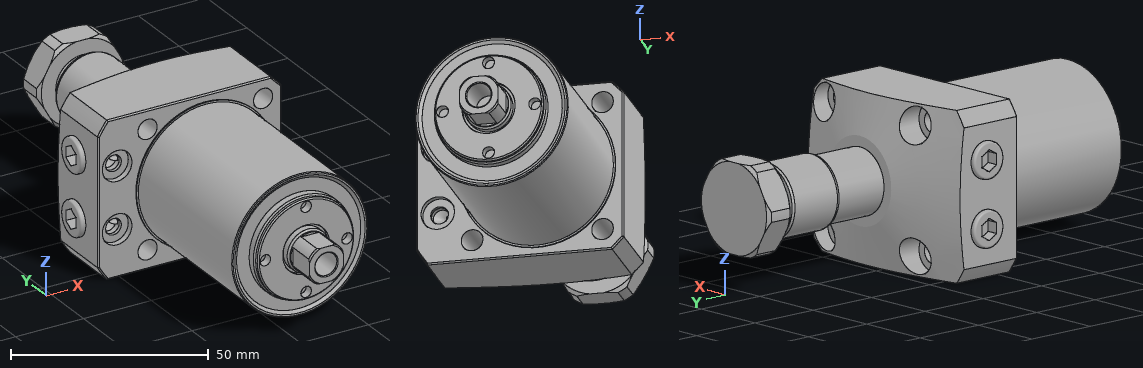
import cadquery as cq
import math


flange_left = 31.6
flange_right = 22.5
flange_half_height = 22.5
flange_depth = 25.1
flange_left_corner_radius = 36.6
flange_right_chamfer = 3.1
flange_edge_chamfer = 0.4
flange_back_flat_radius = 11.8
flange_back_slope = 15
bolt_hole_offset = 17.0
bolt_hole_radius = 2.8
counterbore_radius = 4.9
counterbore_floor = 16.0

barrel_radius = 20.0
barrel_end = -46.6
barrel_chamfer = 0.3
bore_mouth_depth = 0.6
bore_mouth_radius = 19.2
root_radius = 20.5
root_length = 0.4

cap_flange_radius = 18.3
cap_flange_inner_end = -39.7
cap_boss_radius = 14.6
cap_step_radius = 14.2
cap_step_start = -48.0
cap_step_end = -48.5
cap_chamfer = 0.4
cap_end = -49.7
cap_counterbore_radius = 6.9
cap_counterbore_depth = 1.0
cap_flange_outer_end = barrel_end + bore_mouth_depth
spanner_circle_radius = 12.0
spanner_hole_radius = 1.5
spanner_hole_depth = 2.5

rod_radius = 9
collar_radius = 10.0
collar_start = 41.2
collar_end = 57.3
collar_chamfer_length = 0.8
collar_chamfer_height = 0.3
shoulder_radius = 6.1
shoulder_chamfer = 0.5
shoulder_end = -51.1
tail_radius = 5.6
tail_flat_start = -51.6
tail_end = -59.6
tail_across_flats = 10.0
tail_chamfer = 0.4
tail_hole_radius = 3.2
tail_hole_chamfer = 0.3
tail_hole_depth = 10.2

head_start = 60.4
head_end = 68.4
head_across_flats = 24.0
head_corner_radius = 13.2
head_chamfer_radius = 12.2
head_chamfer_depth = 0.8
neck_radius = 7.2
neck_flare_radius = 8.0
neck_flare_start = 58.6

port_heights = (-9, 9)
port_x = -26.0
port_radius = 2.3
port_depth = 4.5
port_cone_length = 1.4
seal_recess_radius = 4.4
seal_recess_depth = 2.8
seal_thickness = 1.0
plug_y = 11.0
plug_radius = 5.0
plug_height = 1.4
plug_rounding = 0.6
plug_shank_radius = 3.2
plug_shank_length = 4.5
plug_socket_across_flats = 5.0
plug_socket_depth = 3.2
passage_radius = 0.9
passage_y = 4.5
passage_start = -26.4
passage_end = -21.8


def turned(profile):
    """Solid of revolution about the Y axis from (y, radius) points that start and end on the axis."""
    return cq.Workplane("YZ").polyline(profile).close().revolve(360, (0, 0), (1, 0))


def rod_along_y(radius, start, end, x=0, z=0):
    """Cylinder along Y from start to end."""
    return cq.Workplane("XZ", origin=(x, start, z)).circle(radius).extrude(start - end)


def rod_along_x(radius, start, end, y, z):
    """Cylinder along X from start to end."""
    return cq.Workplane("YZ", origin=(start, y, z)).circle(radius).extrude(end - start)


def flange_outline():
    """Rectangle with rounded left corners, centred on the rod axis, and chamfered right corners."""
    left_corner_x = math.sqrt(flange_left_corner_radius**2 - flange_half_height**2)
    left_corner_z = math.sqrt(flange_left_corner_radius**2 - flange_left**2)
    middle_angle = (
        math.atan2(flange_half_height, left_corner_x) + math.atan2(left_corner_z, flange_left)
    ) / 2
    middle_x = flange_left_corner_radius * math.cos(middle_angle)
    middle_z = flange_left_corner_radius * math.sin(middle_angle)
    right_corner_x = flange_right - flange_right_chamfer
    right_corner_z = flange_half_height - flange_right_chamfer
    return (
        cq.Workplane("XZ")
        .moveTo(-left_corner_x, flange_half_height)
        .lineTo(right_corner_x, flange_half_height)
        .lineTo(flange_right, right_corner_z)
        .lineTo(flange_right, -right_corner_z)
        .lineTo(right_corner_x, -flange_half_height)
        .lineTo(-left_corner_x, -flange_half_height)
        .threePointArc((-middle_x, -middle_z), (-flange_left, -left_corner_z))
        .lineTo(-flange_left, left_corner_z)
        .threePointArc((-middle_x, middle_z), (-left_corner_x, flange_half_height))
        .close()
    )


def make_flange():
    block = flange_outline().extrude(-flange_depth).faces("<Y").chamfer(flange_edge_chamfer)
    reach = flange_left + flange_right
    cone_drop = (reach - flange_back_flat_radius) * math.tan(math.radians(flange_back_slope))
    envelope = turned([
        (0, 0),
        (0, reach),
        (flange_depth - cone_drop, reach),
        (flange_depth, flange_back_flat_radius),
        (flange_depth, 0),
    ])
    return block.intersect(envelope)


def make_barrel():
    return turned([
        (flange_edge_chamfer, 0),
        (flange_edge_chamfer, root_radius),
        (-root_length, root_radius),
        (-root_length, barrel_radius),
        (barrel_end + barrel_chamfer, barrel_radius),
        (barrel_end, barrel_radius - barrel_chamfer),
        (barrel_end, bore_mouth_radius),
        (cap_flange_outer_end, cap_flange_radius),
        (cap_flange_outer_end, 0),
    ])


def make_cap_blank():
    """Outer shape of the cap, which is also its seat in the barrel."""
    return turned([
        (cap_flange_inner_end, 0),
        (cap_flange_inner_end, cap_flange_radius),
        (cap_flange_outer_end, cap_flange_radius),
        (cap_flange_outer_end, cap_boss_radius),
        (cap_step_start, cap_boss_radius),
        (cap_step_end, cap_step_radius),
        (cap_end + cap_chamfer, cap_step_radius),
        (cap_end, cap_step_radius - cap_chamfer),
        (cap_end, 0),
    ])


def make_rod():
    rod = turned([
        (cap_flange_inner_end, 0),
        (cap_flange_inner_end, rod_radius),
        (collar_start, rod_radius),
        (collar_start, collar_radius - collar_chamfer_height),
        (collar_start + collar_chamfer_length, collar_radius),
        (collar_end - collar_chamfer_length, collar_radius),
        (collar_end, collar_radius - collar_chamfer_height),
        (collar_end, 0),
    ])
    shoulder = rod_along_y(shoulder_radius, cap_flange_inner_end, shoulder_end)
    shoulder = shoulder.faces("<Y").chamfer(shoulder_chamfer)
    tail = rod_along_y(tail_radius, shoulder_end, tail_end).faces("<Y").chamfer(tail_chamfer)
    square = (
        cq.Workplane("XZ", origin=(0, tail_flat_start, 0))
        .rect(tail_across_flats, tail_across_flats)
        .extrude(tail_flat_start - tail_end)
    )
    round_part = rod_along_y(tail_radius, shoulder_end, tail_flat_start)
    tail = tail.intersect(square.union(round_part))
    tail_hole = turned([
        (tail_end + tail_hole_depth, 0),
        (tail_end + tail_hole_depth, tail_hole_radius),
        (tail_end + tail_hole_chamfer, tail_hole_radius),
        (tail_end, tail_hole_radius + tail_hole_chamfer),
        (tail_end, 0),
    ])
    return rod.union(shoulder).union(tail).cut(tail_hole)


def make_cap():
    cap = make_cap_blank().cut(rod_along_y(shoulder_radius, cap_flange_inner_end, cap_end))
    cap = cap.cut(rod_along_y(cap_counterbore_radius, cap_end + cap_counterbore_depth, cap_end))
    for quarter in range(4):
        angle = math.radians(90 * quarter)
        cap = cap.cut(
            rod_along_y(
                spanner_hole_radius,
                cap_end + spanner_hole_depth,
                cap_end,
                spanner_circle_radius * math.cos(angle),
                spanner_circle_radius * math.sin(angle),
            )
        )
    return cap


def make_bolt():
    hexagon = (
        cq.Workplane("XZ", origin=(0, head_end, 0))
        .polygon(6, head_across_flats, circumscribed=True)
        .extrude(head_end - head_start)
        .rotate((0, 0, 0), (0, 1, 0), 90)
    )
    envelope = turned([
        (head_start, 0),
        (head_start, head_chamfer_radius),
        (head_start + head_chamfer_depth, head_corner_radius),
        (head_end - head_chamfer_depth, head_corner_radius),
        (head_end, head_chamfer_radius),
        (head_end, 0),
    ])
    neck = turned([
        (collar_end, 0),
        (collar_end, neck_radius),
        (neck_flare_start, neck_radius),
        (head_start, neck_flare_radius),
        (head_start, 0),
    ])
    return hexagon.intersect(envelope).union(neck)


def plug_shank(z):
    """Shank of a plug, which is also its hole in the flange."""
    return rod_along_x(plug_shank_radius, -flange_left, -flange_left + plug_shank_length, plug_y, z)


def make_plug(z):
    head = rod_along_x(plug_radius, -flange_left - plug_height, -flange_left, plug_y, z)
    head = head.faces("<X").edges().fillet(plug_rounding)
    socket = (
        cq.Workplane("YZ", origin=(-flange_left - plug_height, plug_y, z))
        .polygon(6, plug_socket_across_flats, circumscribed=True)
        .extrude(plug_socket_depth)
    )
    return head.union(plug_shank(z)).cut(socket)


def make_seal(z):
    """Flat ring at the bottom of the recess around a port."""
    seal_face = seal_recess_depth - seal_thickness
    ring = rod_along_y(seal_recess_radius, seal_recess_depth, seal_face, port_x, z)
    return ring.cut(rod_along_y(port_radius, seal_recess_depth, 0, port_x, z))


def make_port_hole(z):
    """Drilled hole with a conical bottom."""
    return turned([
        (0, 0),
        (0, port_radius),
        (port_depth, port_radius),
        (port_depth + port_cone_length, 0),
    ]).translate((port_x, 0, z))


def make_housing():
    body = make_flange().union(make_barrel())
    body = body.cut(make_cap_blank()).cut(rod_along_y(rod_radius, flange_depth, cap_flange_inner_end))
    for x in (-bolt_hole_offset, bolt_hole_offset):
        for z in (-bolt_hole_offset, bolt_hole_offset):
            body = body.cut(rod_along_y(bolt_hole_radius, flange_depth, 0, x, z))
            body = body.cut(rod_along_y(counterbore_radius, flange_depth, counterbore_floor, x, z))
    for z in port_heights:
        body = body.cut(rod_along_y(seal_recess_radius, seal_recess_depth, 0, port_x, z))
        body = body.cut(make_port_hole(z))
        body = body.cut(plug_shank(z))
        body = body.cut(rod_along_x(passage_radius, passage_start, passage_end, passage_y, z))
    return body


housing = make_housing()
cap = make_cap()
rod = make_rod()
bolt = make_bolt()
plugs = [make_plug(z) for z in port_heights]
seals = [make_seal(z) for z in port_heights]

result = cq.Compound.makeCompound([
    housing.val(),
    cap.val(),
    rod.val(),
    bolt.val(),
    *[plug.val() for plug in plugs],
    *[seal.val() for seal in seals],
])